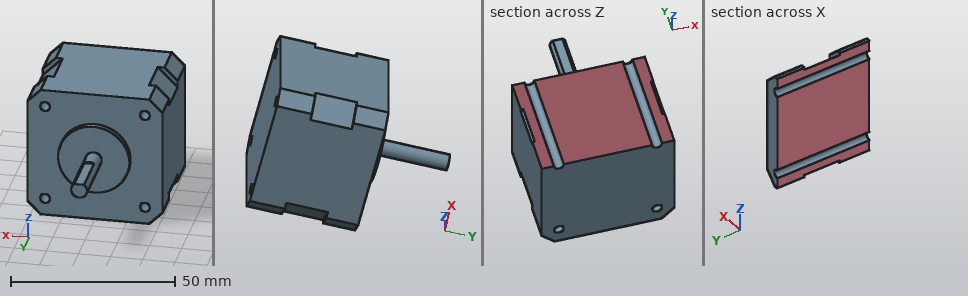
import cadquery as cq

body_width = 42.0
total_length = 58.0
flange_thickness = 2.0
flange_diameter = 22.15
shaft_length = 22.0
shaft_diameter = 5.0
body_length = total_length - flange_thickness - shaft_length

cap_chamfer = 4.1
stack_chamfer = 6.2
stack_start = 11.0
stack_length = 13.0

hole_spacing = 31.05
hole_diameter = 3.0

flat_length = 15.0
flat_height = 2.0


def chamfered_block(start, length, chamfer):
    """Square block with chamfered long edges, running from start toward +Y."""
    return (
        cq.Workplane("XZ", origin=(0, start, 0))
        .rect(body_width, body_width)
        .extrude(-length)
        .edges("|Y")
        .chamfer(chamfer)
    )


def cylinder(start, length, diameter):
    """Cylinder on the motor axis, running from start toward +Y."""
    return cq.Workplane("XZ", origin=(0, start, 0)).circle(diameter / 2).extrude(-length)


stack_end = stack_start + stack_length
rear_cap = chamfered_block(0, stack_start, cap_chamfer)
stack = chamfered_block(stack_start, stack_length, stack_chamfer)
front_cap = chamfered_block(stack_end, body_length - stack_end, cap_chamfer)
body = rear_cap.union(stack).union(front_cap)

holes = (
    cq.Workplane("XZ")
    .rect(hole_spacing, hole_spacing, forConstruction=True)
    .vertices()
    .circle(hole_diameter / 2)
    .extrude(-body_length)
)
body = body.cut(holes)

flange = cylinder(body_length, flange_thickness, flange_diameter)
shaft = cylinder(body_length + flange_thickness, shaft_length, shaft_diameter)
flat_cutter = cq.Workplane("XY", origin=(0, total_length - flat_length / 2, flat_height)).box(
    shaft_diameter, flat_length, shaft_diameter, centered=(True, True, False)
)
shaft = shaft.cut(flat_cutter)

result = body.union(flange).union(shaft)